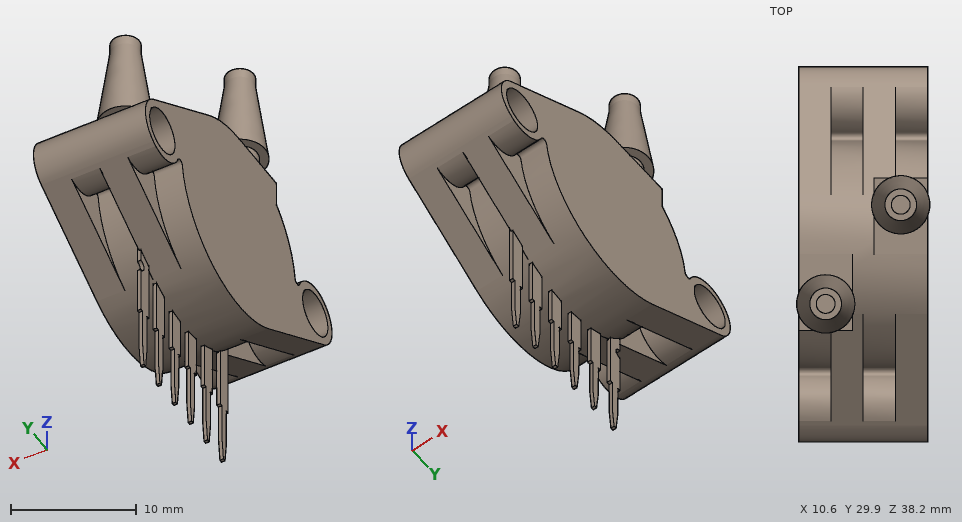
import cadquery as cq
import math

THICKNESS = 10.27
DISC_RADIUS = 9.1
OVERALL_WIDTH = 29.85
EAR_RADIUS = 2.7
EAR_Y = OVERALL_WIDTH / 2 - EAR_RADIUS
HOLE_DIAMETER = 4.04

SLOT_COUNT = 4
SLOT_WIDTH = THICKNESS / SLOT_COUNT
POCKET_EAR_RADIUS = 2.735
POCKET_FILLET = 0.35

PAD_LENGTH = 6.05
PAD_WIDTH = 4.27
PAD_BOTTOM_Z = 6.5
PORT_X = 2.985
PORT_Y = 3.94
NECK_DIAMETER = 3.11
BARB_DIAMETER = 4.64
TIP_DIAMETER = 2.52
BORE_DIAMETER = 1.5
BARB_BASE_Z = 11.05
TIP_TOP_Z = 19.74
TIP_LENGTH = 0.92

OVERALL_HEIGHT = 38.17
PIN_COUNT = 6
PIN_PITCH = 2.54
PIN_THICKNESS = 0.33
PIN_WIDE = 1.27
PIN_NARROW = 0.71
PIN_TIP = 0.27
PIN_TOP_Z = -5.5
PIN_SHOULDER_Z = -12.83
PIN_TAPER_Z = -16.43
PIN_BOTTOM_Z = TIP_TOP_Z - OVERALL_HEIGHT
PIN_NOTCH_RADIUS = 0.5
PIN_NOTCH_Z = -8.0

TANGENT_SIN = (DISC_RADIUS - EAR_RADIUS) / EAR_Y
TANGENT_COS = math.sqrt(1 - TANGENT_SIN ** 2)


def plate():
    """Full-thickness disc and ears, with the mounting holes."""
    disc_y, disc_z = DISC_RADIUS * TANGENT_SIN, DISC_RADIUS * TANGENT_COS
    ear_y, ear_z = EAR_Y + EAR_RADIUS * TANGENT_SIN, EAR_RADIUS * TANGENT_COS
    outline = (
        cq.Workplane("YZ", origin=(-THICKNESS / 2, 0, 0))
        .moveTo(-disc_y, disc_z)
        .threePointArc((0, DISC_RADIUS), (disc_y, disc_z))
        .lineTo(ear_y, ear_z)
        .threePointArc((OVERALL_WIDTH / 2, 0), (ear_y, -ear_z))
        .lineTo(disc_y, -disc_z)
        .threePointArc((0, -DISC_RADIUS), (-disc_y, -disc_z))
        .lineTo(-ear_y, -ear_z)
        .threePointArc((-OVERALL_WIDTH / 2, 0), (-ear_y, ear_z))
        .close()
    )
    holes = (
        cq.Workplane("YZ", origin=(-THICKNESS / 2, 0, 0))
        .pushPoints([(-EAR_Y, 0), (EAR_Y, 0)])
        .circle(HOLE_DIAMETER / 2)
        .extrude(THICKNESS)
    )
    return outline.extrude(THICKNESS).cut(holes)


def pocket(slot, y_side, z_side):
    """One slot-wide cutter between disc and ear, in the given Y and Z quadrant."""
    root_disc = DISC_RADIUS + POCKET_FILLET
    root_ear = POCKET_EAR_RADIUS + POCKET_FILLET
    root_y = (root_disc ** 2 - root_ear ** 2 + EAR_Y ** 2) / (2 * EAR_Y)
    root_z = math.sqrt(root_disc ** 2 - root_y ** 2)
    disc_end = (root_y * DISC_RADIUS / root_disc, root_z * DISC_RADIUS / root_disc)
    ear_scale = POCKET_EAR_RADIUS / root_ear
    ear_end = (EAR_Y + (root_y - EAR_Y) * ear_scale, root_z * ear_scale)

    tangent_angle = math.acos(TANGENT_SIN)
    exit_angle = tangent_angle + math.acos(EAR_RADIUS / POCKET_EAR_RADIUS)
    ear_exit = (
        EAR_Y + POCKET_EAR_RADIUS * math.cos(exit_angle),
        POCKET_EAR_RADIUS * math.sin(exit_angle),
    )
    end_angle = math.atan2(ear_end[1], ear_end[0] - EAR_Y)
    ear_angle = (exit_angle + end_angle) / 2
    ear_mid = (
        EAR_Y + POCKET_EAR_RADIUS * math.cos(ear_angle),
        POCKET_EAR_RADIUS * math.sin(ear_angle),
    )
    disc_start = (DISC_RADIUS * TANGENT_SIN, DISC_RADIUS * TANGENT_COS)
    disc_angle = (tangent_angle + math.atan2(disc_end[1], disc_end[0])) / 2
    disc_mid = (DISC_RADIUS * math.cos(disc_angle), DISC_RADIUS * math.sin(disc_angle))

    def place(point):
        return (y_side * point[0], z_side * point[1])

    return (
        cq.Workplane("YZ", origin=(-THICKNESS / 2 + slot * SLOT_WIDTH, 0, 0))
        .moveTo(*place(disc_start))
        .threePointArc(place(disc_mid), place(disc_end))
        .threePointArc(place((root_y, root_z - POCKET_FILLET)), place(ear_end))
        .threePointArc(place(ear_mid), place(ear_exit))
        .close()
        .extrude(SLOT_WIDTH)
    )


def port_pad(side):
    """Flat-topped pad flush with one face of the plate."""
    pad = cq.Workplane("XY").box(
        PAD_WIDTH, PAD_LENGTH, DISC_RADIUS - PAD_BOTTOM_Z, centered=(True, True, False)
    )
    pad_x = side * (THICKNESS - PAD_WIDTH) / 2
    return pad.translate((pad_x, side * PAD_LENGTH / 2, PAD_BOTTOM_Z))


def port_tube(side):
    """Neck, tapered barb and straight tip, with a bore that stops at the pad."""
    tip_base_z = TIP_TOP_Z - TIP_LENGTH
    return (
        cq.Workplane("XZ")
        .moveTo(BORE_DIAMETER / 2, DISC_RADIUS)
        .lineTo(NECK_DIAMETER / 2, DISC_RADIUS)
        .lineTo(NECK_DIAMETER / 2, BARB_BASE_Z)
        .lineTo(BARB_DIAMETER / 2, BARB_BASE_Z)
        .lineTo(TIP_DIAMETER / 2, tip_base_z)
        .lineTo(TIP_DIAMETER / 2, TIP_TOP_Z)
        .lineTo(BORE_DIAMETER / 2, TIP_TOP_Z)
        .close()
        .revolve(360, (0, 0, 0), (0, 1, 0))
        .translate((side * PORT_X, side * PORT_Y, 0))
    )


def make_housing():
    """Plate with staggered pockets, pads and ports."""
    body = plate()
    for slot in range(SLOT_COUNT):
        diagonal = -1 if slot % 2 == 0 else 1
        for y_side in (-1, 1):
            body = body.cut(pocket(slot, y_side, diagonal * y_side))
    for side in (-1, 1):
        body = body.union(port_pad(side)).union(port_tube(side))
    return body


def make_pin(y_center):
    """Flat stepped terminal with a tapered tip."""
    half_profile = [
        (PIN_WIDE / 2, PIN_TOP_Z),
        (PIN_WIDE / 2, PIN_SHOULDER_Z),
        (PIN_NARROW / 2, PIN_SHOULDER_Z),
        (PIN_NARROW / 2, PIN_TAPER_Z),
        (PIN_TIP / 2, PIN_BOTTOM_Z),
    ]
    mirrored = [(-y, z) for y, z in reversed(half_profile)]
    blade = cq.Workplane("YZ").polyline(half_profile + mirrored).close()
    return blade.extrude(PIN_THICKNESS / 2, both=True).translate((0, y_center, 0))


def pin_notch(y_edge):
    """Round cutter for the notch that marks the first pin."""
    return (
        cq.Workplane("YZ")
        .center(y_edge, PIN_NOTCH_Z)
        .circle(PIN_NOTCH_RADIUS)
        .extrude(PIN_THICKNESS, both=True)
    )


first_pin_y = PIN_PITCH * (PIN_COUNT - 1) / 2
pins = [make_pin(first_pin_y - i * PIN_PITCH) for i in range(PIN_COUNT)]
pins[0] = pins[0].cut(pin_notch(first_pin_y + PIN_WIDE / 2))

housing = make_housing()
for pin in pins:
    housing = housing.cut(pin)

result = cq.Compound.makeCompound([housing.solids().val(), *[pin.solids().val() for pin in pins]])